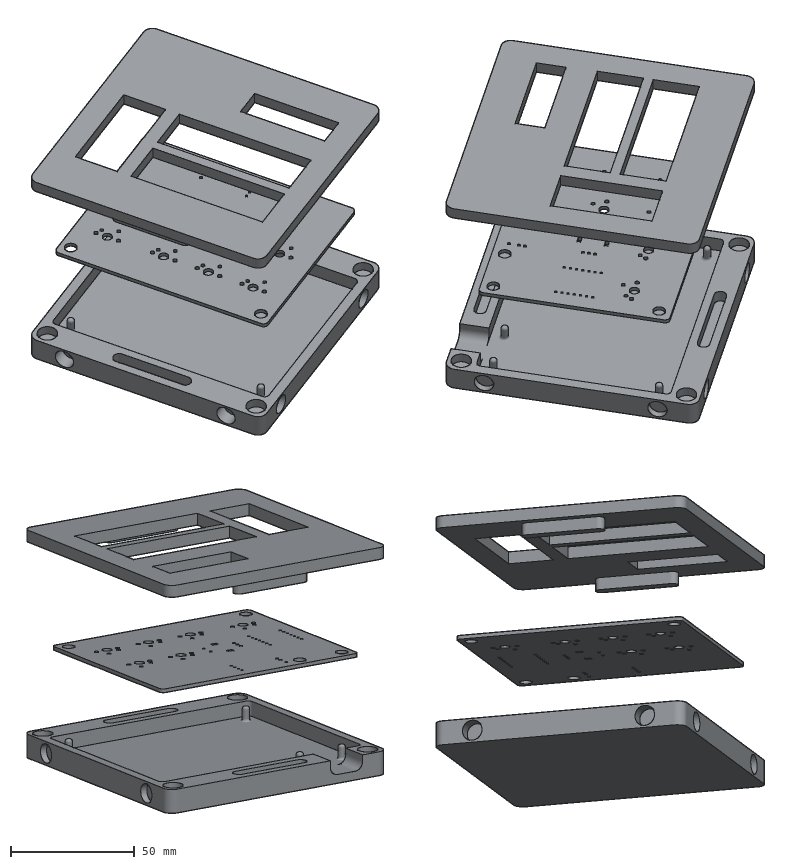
import cadquery as cq
CASE_LENGTH = 106.5
CASE_WIDTH = 104.7
CASE_CORNER_RADIUS = 4.0
STACK_HEIGHT = 95.5

TRAY_HEIGHT = 10.0
TRAY_FLOOR = 3.7
CAVITY_LENGTH = 98.0
CAVITY_WIDTH = 80.4
CAVITY_CORNER_RADIUS = 2.0
NOTCH_WIDTH = 15.8
NOTCH_FILLET = 3.6
CORNER_HOLE_DIAMETER = 8.2
CORNER_HOLE_DEPTH = 4.0
CORNER_HOLE_INSET = 5.8
FRONT_HOLE_DIAMETER = 8.3
FRONT_HOLE_DEPTH = 6.0
FRONT_HOLE_X = 36.7
END_HOLE_DIAMETER = 8.0
END_HOLE_DEPTH = 3.0
END_HOLE_Y = 35.9

STANDOFF_DIAMETER = 3.0
STANDOFF_HEIGHT = 6.2
STANDOFF_FILLET = 1.1

TONGUE_LENGTH = 35.0
TONGUE_WIDTH = 5.0
TONGUE_HEIGHT = 5.0
TONGUE_Y = 46.2
SLOT_CLEARANCE = 0.1

LID_THICKNESS = 5.0
LID_BOTTOM = STACK_HEIGHT - LID_THICKNESS
KEY_WINDOW_WIDTH = 19.1
KEY_WINDOW_LENGTH = 59.9
KEY_WINDOW_X = 12.5
CONTROLLER_WINDOW_LENGTH = 42.2
SCREEN_WINDOW_LENGTH = 38.2
SCREEN_WINDOW_WIDTH = 12.2
SCREEN_WINDOW_X = 22.8
SCREEN_WINDOW_Y = 29.9

BOARD_LENGTH = 96.2
BOARD_WIDTH = 78.9
BOARD_THICKNESS = 1.6
BOARD_BOTTOM = 47.0
BOARD_CORNER_RADIUS = 2.0
MOUNT_X = 43.2
MOUNT_Y = 34.3
INNER_MOUNT_X = -22.8
MOUNT_HOLE_DIAMETER = 5.1
PIN_PITCH = 2.6

CONTROLLER_X = -33.2
KEY_COLUMNS = [-7.6, 12.8, 33.1]
LOWER_ROW_Y = -21.7
UPPER_ROW_Y = 1.4
SWITCH_HOLE_DIAMETER = 4.0
SWITCH_PEG_DIAMETER = 1.7
SWITCH_PEG_OFFSET = 5.1
SWITCH_LEG_DIAMETER = 1.5

ENCODER_X = -7.5
ENCODER_PIN_DIAMETER = 1.2
ENCODER_PIN_OFFSET = 7.3
ENCODER_Y = 1.3
ENCODER_PIN_SPAN = 5.0
ENCODER_LUG_LENGTH = 2.6
ENCODER_LUG_WIDTH = 1.5
ENCODER_LUG_OFFSET = 5.6
CONTROLLER_PIN_DIAMETER = 0.88
CONTROLLER_PIN_COUNT = 7
CONTROLLER_PIN_OFFSET = 7.7
SCREEN_PIN_DIAMETER = 0.88
SCREEN_PIN_COUNT = 4
SCREEN_PIN_X = 5.1

CONNECTOR_X = -16.3
CONNECTOR_Y = [34.1, 29.9, 27.5]
CONNECTOR_HOLE_DIAMETER = 1.2

KEY_CENTRES = [(CONTROLLER_X, LOWER_ROW_Y)]
KEY_CENTRES += [(x, LOWER_ROW_Y) for x in KEY_COLUMNS]
KEY_CENTRES += [(x, UPPER_ROW_Y) for x in KEY_COLUMNS[1:]]
MOUNT_POINTS = [(-MOUNT_X, -MOUNT_Y), (MOUNT_X, -MOUNT_Y), (-MOUNT_X, MOUNT_Y), (INNER_MOUNT_X, MOUNT_Y)]
TONGUE_POINTS = [(0, -TONGUE_Y), (0, TONGUE_Y)]


def rounded_plate(length, width, height, radius, bottom):
    plate = cq.Workplane("XY").box(length, width, height, centered=(True, True, False))
    return plate.edges("|Z").fillet(radius).translate((0, 0, bottom))


def cylinders(points, diameter, height, bottom):
    return cq.Workplane("XY").workplane(offset=bottom).pushPoints(points).circle(diameter / 2).extrude(height)


def slots(points, length, width, height, bottom):
    return cq.Workplane("XY").workplane(offset=bottom).pushPoints(points).slot2D(length, width).extrude(height)


def cable_notch():
    """Opening through the back wall behind the controller, with its two lower edges rounded."""
    depth = (CASE_WIDTH - CAVITY_WIDTH) / 2 + CAVITY_CORNER_RADIUS
    notch = cq.Workplane("XY").box(NOTCH_WIDTH, depth, CASE_WIDTH, centered=(True, False, False))
    notch = notch.edges("|Y and <Z").fillet(NOTCH_FILLET)
    return notch.translate((CONTROLLER_X, CASE_WIDTH / 2 - depth, TRAY_FLOOR))


def front_holes():
    """Blind round pockets in the front wall."""
    plane = cq.Workplane("XZ", origin=(0, -CASE_WIDTH / 2, TRAY_HEIGHT / 2))
    centres = [(-FRONT_HOLE_X, 0), (FRONT_HOLE_X, 0)]
    return plane.pushPoints(centres).circle(FRONT_HOLE_DIAMETER / 2).extrude(-FRONT_HOLE_DEPTH)


def end_holes(side):
    """Blind round pockets in the left (side = -1) or right (side = 1) wall."""
    plane = cq.Workplane("YZ", origin=(side * CASE_LENGTH / 2, 0, TRAY_HEIGHT / 2))
    centres = [(-END_HOLE_Y, 0), (END_HOLE_Y, 0)]
    return plane.pushPoints(centres).circle(END_HOLE_DIAMETER / 2).extrude(-side * END_HOLE_DEPTH)


def standoffs():
    """Posts with a rounded top and a concave fillet at the foot."""
    radius = STANDOFF_DIAMETER / 2
    half_profile = (
        cq.Workplane("XZ")
        .lineTo(radius + STANDOFF_FILLET, 0)
        .radiusArc((radius, STANDOFF_FILLET), STANDOFF_FILLET)
        .lineTo(radius, STANDOFF_HEIGHT - STANDOFF_FILLET)
        .radiusArc((radius - STANDOFF_FILLET, STANDOFF_HEIGHT), -STANDOFF_FILLET)
        .lineTo(0, STANDOFF_HEIGHT)
        .close()
    )
    post = half_profile.revolve(360, (0, 0, 0), (0, 1, 0))
    return [post.translate((x, y, TRAY_FLOOR)) for x, y in MOUNT_POINTS]


def make_tray():
    tray = rounded_plate(CASE_LENGTH, CASE_WIDTH, TRAY_HEIGHT, CASE_CORNER_RADIUS, 0)
    tray = tray.cut(rounded_plate(CAVITY_LENGTH, CAVITY_WIDTH, TRAY_HEIGHT, CAVITY_CORNER_RADIUS, TRAY_FLOOR))
    tray = tray.cut(cable_notch())
    hole_x = CASE_LENGTH / 2 - CORNER_HOLE_INSET
    hole_y = CASE_WIDTH / 2 - CORNER_HOLE_INSET
    corners = [(x, y) for x in (-hole_x, hole_x) for y in (-hole_y, hole_y)]
    tray = tray.cut(cylinders(corners, CORNER_HOLE_DIAMETER, CORNER_HOLE_DEPTH, TRAY_HEIGHT - CORNER_HOLE_DEPTH))
    tray = tray.cut(front_holes())
    for side in (-1, 1):
        tray = tray.cut(end_holes(side))
    tray = tray.cut(
        slots(
            TONGUE_POINTS,
            TONGUE_LENGTH + SLOT_CLEARANCE,
            TONGUE_WIDTH + SLOT_CLEARANCE,
            TONGUE_HEIGHT,
            TRAY_HEIGHT - TONGUE_HEIGHT,
        )
    )
    for standoff in standoffs():
        tray = tray.union(standoff)
    return tray


def switch_points(offset_x, offset_y):
    return [(x + offset_x, y + offset_y) for x, y in KEY_CENTRES]


def pin_row(x, middle_y, count, pitch):
    return [(x, middle_y + (i - (count - 1) / 2) * pitch) for i in range(count)]


def make_board():
    board = rounded_plate(BOARD_LENGTH, BOARD_WIDTH, BOARD_THICKNESS, BOARD_CORNER_RADIUS, BOARD_BOTTOM)
    pegs = switch_points(-SWITCH_PEG_OFFSET, 0) + switch_points(SWITCH_PEG_OFFSET, 0)
    legs = switch_points(-1.5 * PIN_PITCH, PIN_PITCH) + switch_points(PIN_PITCH, 2 * PIN_PITCH)
    encoder_pins = pin_row(ENCODER_X - ENCODER_PIN_OFFSET, ENCODER_Y, 3, ENCODER_PIN_SPAN / 2)
    encoder_pins += pin_row(ENCODER_X + ENCODER_PIN_OFFSET, ENCODER_Y, 2, ENCODER_PIN_SPAN)
    controller_pins = []
    for side in (-1, 1):
        pin_x = CONTROLLER_X + side * CONTROLLER_PIN_OFFSET
        controller_pins += pin_row(pin_x, UPPER_ROW_Y, CONTROLLER_PIN_COUNT, PIN_PITCH)
    screen_pins = pin_row(SCREEN_PIN_X, SCREEN_WINDOW_Y, SCREEN_PIN_COUNT, PIN_PITCH)
    connector_holes = [(CONNECTOR_X, y) for y in CONNECTOR_Y]
    hole_groups = [
        (MOUNT_POINTS, MOUNT_HOLE_DIAMETER),
        (KEY_CENTRES, SWITCH_HOLE_DIAMETER),
        (pegs, SWITCH_PEG_DIAMETER),
        (legs, SWITCH_LEG_DIAMETER),
        (encoder_pins, ENCODER_PIN_DIAMETER),
        (controller_pins, CONTROLLER_PIN_DIAMETER),
        (screen_pins, SCREEN_PIN_DIAMETER),
        (connector_holes, CONNECTOR_HOLE_DIAMETER),
    ]
    for points, diameter in hole_groups:
        board = board.cut(cylinders(points, diameter, BOARD_THICKNESS, BOARD_BOTTOM))
    lugs = pin_row(ENCODER_X, ENCODER_Y, 2, 2 * ENCODER_LUG_OFFSET)
    lug_plane = cq.Workplane("XY").workplane(offset=BOARD_BOTTOM).pushPoints(lugs)
    return board.cut(lug_plane.rect(ENCODER_LUG_LENGTH, ENCODER_LUG_WIDTH).extrude(BOARD_THICKNESS))


def window(x, y, length, width):
    opening = cq.Workplane("XY").box(length, width, LID_THICKNESS, centered=(True, True, False))
    return opening.translate((x, y, LID_BOTTOM))


def make_lid():
    lid = rounded_plate(CASE_LENGTH, CASE_WIDTH, LID_THICKNESS, CASE_CORNER_RADIUS, LID_BOTTOM)
    lid = lid.cut(window(KEY_WINDOW_X, UPPER_ROW_Y, KEY_WINDOW_LENGTH, KEY_WINDOW_WIDTH))
    lid = lid.cut(window(KEY_WINDOW_X, LOWER_ROW_Y, KEY_WINDOW_LENGTH, KEY_WINDOW_WIDTH))
    controller_y = LOWER_ROW_Y + (CONTROLLER_WINDOW_LENGTH - KEY_WINDOW_WIDTH) / 2
    lid = lid.cut(window(CONTROLLER_X, controller_y, KEY_WINDOW_WIDTH, CONTROLLER_WINDOW_LENGTH))
    lid = lid.cut(window(SCREEN_WINDOW_X, SCREEN_WINDOW_Y, SCREEN_WINDOW_LENGTH, SCREEN_WINDOW_WIDTH))
    return lid.union(slots(TONGUE_POINTS, TONGUE_LENGTH, TONGUE_WIDTH, TONGUE_HEIGHT, LID_BOTTOM - TONGUE_HEIGHT))


tray = make_tray()
board = make_board()
lid = make_lid()

result = cq.Compound.makeCompound([tray.val(), board.val(), lid.val()])